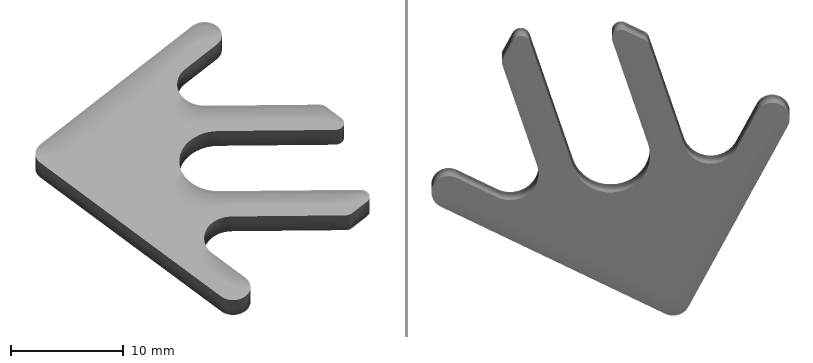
import cadquery as cq
import math

length = 25.4
width = 22.35
thickness = 2.0

arm_width = 3.07
arm_end_radius = arm_width / 2

slot_radius = 3.5
prong_width = 2.97
prong_tip_radius = 0.81
center_x = length / 2
center_y = width / 2

gap_radius = 2.51

center_rise = center_y - center_x
inner_offset = slot_radius * math.sqrt(2)
outer_offset = (slot_radius + prong_width) * math.sqrt(2)
upper_inner_rise = center_rise + inner_offset
upper_outer_rise = center_rise + outer_offset
lower_inner_rise = center_rise - inner_offset
lower_outer_rise = center_rise - outer_offset

gap_inset = arm_width + gap_radius
gap_shift = gap_radius * math.sqrt(2)
upper_gap = (gap_inset, gap_inset + upper_outer_rise + gap_shift)
lower_gap = (gap_inset - lower_outer_rise + gap_shift, gap_inset)


def around(center, radius, angle):
    """Point on a circle at an angle in degrees."""
    turn = math.radians(angle)
    return (center[0] + radius * math.cos(turn), center[1] + radius * math.sin(turn))


slot_center = (center_x, center_y)

outline = (
    cq.Workplane("XY")
    .moveTo(0, 0)
    .lineTo(0, width - arm_end_radius)
    .threePointArc((arm_end_radius, width), (arm_width, width - arm_end_radius))
    .lineTo(*around(upper_gap, gap_radius, 180))
    .threePointArc(around(upper_gap, gap_radius, 270), around(upper_gap, gap_radius, 315))
    .lineTo(width - upper_outer_rise, width)
    .lineTo(width - upper_inner_rise, width)
    .lineTo(*around(slot_center, slot_radius, 135))
    .threePointArc(around(slot_center, slot_radius, 225), around(slot_center, slot_radius, 315))
    .lineTo(length, length + lower_inner_rise)
    .lineTo(length, length + lower_outer_rise)
    .lineTo(*around(lower_gap, gap_radius, 135))
    .threePointArc(around(lower_gap, gap_radius, 180), around(lower_gap, gap_radius, 270))
    .lineTo(length - arm_end_radius, arm_width)
    .threePointArc((length, arm_end_radius), (length - arm_end_radius, 0))
    .close()
)
plate = outline.extrude(thickness)


def round_corner(body, point, radius):
    """Round the upright edge nearest to a corner of the outline."""
    corner = cq.selectors.NearestToPointSelector((point[0], point[1], thickness / 2))
    return body.edges("|Z").edges(corner).fillet(radius)


prong_tips = [
    (width - upper_outer_rise, width),
    (width - upper_inner_rise, width),
    (length, length + lower_inner_rise),
    (length, length + lower_outer_rise),
]
for tip in prong_tips:
    plate = round_corner(plate, tip, prong_tip_radius)

plate = round_corner(plate, (0, 0), arm_end_radius)

result = plate